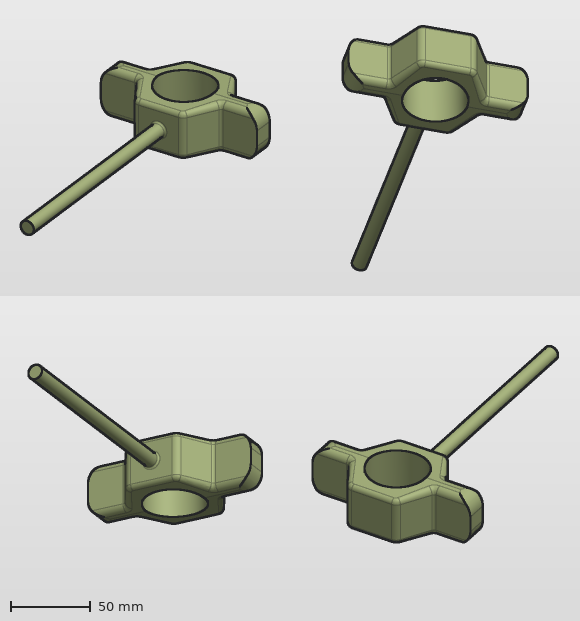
import cadquery as cq
import math

length_x = 116.7
length_y = 215.0
height = 36.1
hex_apothem = 31.2
hex_corner_radius = 5.5
bore_radius = 20.9
handle_half_width = 7.5
handle_root_radius = 2.5
handle_tip_radius = 12.5
roof_slope = 3.0
wall_half_height = 13.3
rod_radius = 5.0
rod_root_fillet = 1.3

hex_half_side = hex_apothem * math.tan(math.radians(30))
handle_root_x = 2 * hex_half_side - handle_half_width * math.tan(math.radians(30))
half_x = length_x / 2
half_height = height / 2
tip_overrun = 4.3
overlap = 2.1


def make_blank():
    """Hexagon with two handles, with its vertical corners rounded."""
    end_x = half_x + tip_overrun
    back_edge = [
        (end_x, handle_half_width),
        (handle_root_x, handle_half_width),
        (hex_half_side, hex_apothem),
        (-hex_half_side, hex_apothem),
        (-handle_root_x, handle_half_width),
        (-end_x, handle_half_width),
    ]
    front_edge = [(x, -y) for x, y in reversed(back_edge)]
    blank = (
        cq.Workplane("XY", origin=(0, 0, -half_height))
        .polyline(back_edge + front_edge)
        .close()
        .extrude(height)
    )
    for x, y, radius in (
        (hex_half_side, hex_apothem, hex_corner_radius),
        (handle_root_x, handle_half_width, handle_root_radius),
    ):
        for side_x in (-x, x):
            for side_y in (-y, y):
                corner = cq.selectors.NearestToPointSelector((side_x, side_y, 0))
                blank = blank.edges("|Z").edges(corner).fillet(radius)
    return blank


def make_roof_envelope():
    """Long prism along X with a shallow ridge above and below."""
    side_y = hex_apothem + overlap
    side_z = half_height - side_y * math.tan(math.radians(roof_slope))
    return (
        cq.Workplane("YZ")
        .polyline([
            (0, half_height),
            (side_y, side_z),
            (side_y, -side_z),
            (0, -half_height),
            (-side_y, -side_z),
            (-side_y, side_z),
        ])
        .close()
        .extrude(length_x, both=True)
    )


def round_rims(body):
    """Round each rim with a radius that shrinks as the roof gets lower."""
    setback_ratio = math.tan(math.radians(45 - roof_slope / 2))
    solid = body.val()
    maker = cq.occ_impl.shapes.BRepFilletAPI_MakeFillet(solid.wrapped)
    for side_y in (-hex_apothem, hex_apothem):
        for side_z in (-half_height, half_height):
            middle = cq.selectors.NearestToPointSelector((0, side_y, side_z))
            maker.Add(body.edges("|X").edges(middle).val().wrapped)
    for vertex in body.vertices().vals():
        for contour in range(1, maker.NbContours() + 1):
            if maker.RelativeAbscissa(contour, vertex.wrapped) >= 0:
                radius = (abs(vertex.Z) - wall_half_height) / setback_ratio
                maker.SetRadius(radius, contour, vertex.wrapped)
    return cq.Workplane(cq.Shape.cast(maker.Shape()).Solids()[0])


def make_tip_envelope():
    """Block whose long ends carry the rounded handle tips."""
    return (
        cq.Workplane("XY")
        .box(length_x, 2 * hex_apothem, height)
        .edges("|Y")
        .fillet(handle_tip_radius)
    )


def make_rod():
    """Rod along -Y with a concave fillet where it leaves the hexagon."""
    face_y = -hex_apothem
    end_y = hex_apothem - length_y
    embed_y = face_y + overlap
    foot_radius = rod_radius + rod_root_fillet
    arc_offset = rod_root_fillet * (1 - math.sqrt(0.5))
    return (
        cq.Workplane("XY")
        .moveTo(0, embed_y)
        .lineTo(foot_radius, embed_y)
        .lineTo(foot_radius, face_y)
        .threePointArc(
            (rod_radius + arc_offset, face_y - arc_offset),
            (rod_radius, face_y - rod_root_fillet),
        )
        .lineTo(rod_radius, end_y)
        .lineTo(0, end_y)
        .close()
        .revolve(360, (0, 0, 0), (0, 1, 0))
    )


body = round_rims(make_blank().intersect(make_roof_envelope()))
body = body.intersect(make_tip_envelope())
bore = cq.Workplane("XY").circle(bore_radius).extrude(height, both=True)
result = body.cut(bore).union(make_rod())